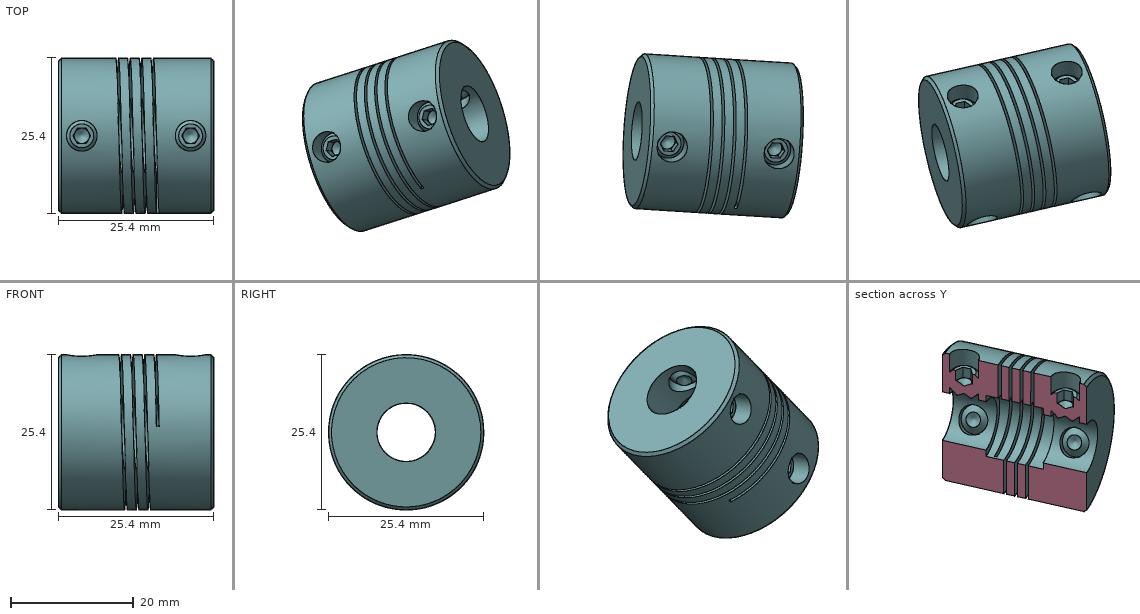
import cadquery as cq
import math

BODY_DIAMETER = 25.4
BODY_LENGTH = 25.4
END_CHAMFER = 0.5
BORE_DIAMETER = 9.525
RELIEF_DIAMETER = 12.0
RELIEF_LENGTH = 10.0

SLOT_WIDTH = 0.45
SLOT_PITCH = 1.905
SLOT_TURNS = 3.725
SLOT_MIDDLE_ANGLE = 225.0
SLOT_SECTIONS = 4
SLOT_OVERCUT = 0.5

SCREW_DIAMETER = 5.0
SCREW_LENGTH = 5.0
SCREW_TIP_RADIUS = 4.7
SCREW_END_DISTANCE = 3.81
SCREW_ANGLES = (0.0, -120.0)
SCREW_HEAD_CHAMFER = 0.55
CUP_DIAMETER = 2.5
CUP_CONE_ANGLE = 120.0
SOCKET_ACROSS_FLATS = 2.5
SOCKET_DEPTH = 2.0
SOCKET_CONE_ANGLE = 120.0

X_AXIS = cq.Vector(1, 0, 0)
SPACE_DIAGONAL = cq.Vector(1, 1, 1)
ORIGIN = cq.Vector(0, 0, 0)


def cylinder_along_x(diameter, length):
    return cq.Workplane("YZ").circle(diameter / 2).extrude(length / 2, both=True)


def cone_depth(diameter, full_angle):
    return diameter / 2 / math.tan(math.radians(full_angle / 2))


def make_body():
    body = cylinder_along_x(BODY_DIAMETER, BODY_LENGTH)
    body = body.faces("<X or >X").chamfer(END_CHAMFER)
    body = body.cut(cylinder_along_x(BORE_DIAMETER, BODY_LENGTH))
    return body.cut(cylinder_along_x(RELIEF_DIAMETER, RELIEF_LENGTH))


def make_slot_sections():
    """Thin radial blades, each swept along an equal stretch of the helix, that together form the slot."""
    inner_radius = RELIEF_DIAMETER / 2 - SLOT_OVERCUT
    outer_radius = BODY_DIAMETER / 2 + SLOT_OVERCUT
    middle_radius = (inner_radius + outer_radius) / 2
    section_turns = SLOT_TURNS / SLOT_SECTIONS
    helix = cq.Wire.makeHelix(SLOT_PITCH, SLOT_PITCH * section_turns, middle_radius)
    blade = (
        cq.Workplane("XZ")
        .center(middle_radius, 0)
        .rect(outer_radius - inner_radius, SLOT_WIDTH)
        .sweep(cq.Workplane(helix), isFrenet=True)
    )
    blade = blade.rotate(ORIGIN, SPACE_DIAGONAL, 120)
    sections = []
    for index in range(SLOT_SECTIONS):
        turns_from_middle = index * section_turns - SLOT_TURNS / 2
        angle = SLOT_MIDDLE_ANGLE + 360 * turns_from_middle
        offset = SLOT_PITCH * turns_from_middle
        sections.append(blade.rotate(ORIGIN, X_AXIS, angle).translate((offset, 0, 0)))
    return sections


def make_screw():
    """Cup-point set screw along Z with its tip facing the body axis."""
    radius = SCREW_DIAMETER / 2
    cup_radius = CUP_DIAMETER / 2
    tip = SCREW_TIP_RADIUS
    head = tip + SCREW_LENGTH
    socket_across_corners = SOCKET_ACROSS_FLATS / math.cos(math.radians(30))
    socket_floor = head - SOCKET_DEPTH
    socket_apex = socket_floor - cone_depth(SOCKET_ACROSS_FLATS, SOCKET_CONE_ANGLE)
    blank = (
        cq.Workplane("XZ")
        .moveTo(0, tip + cone_depth(CUP_DIAMETER, CUP_CONE_ANGLE))
        .lineTo(cup_radius, tip)
        .lineTo(radius, tip + radius - cup_radius)
        .lineTo(radius, head - SCREW_HEAD_CHAMFER)
        .lineTo(radius - SCREW_HEAD_CHAMFER, head)
        .lineTo(0, head)
        .close()
        .revolve(360, (0, 0), (0, 1))
    )
    hexagon = (
        cq.Workplane("XY", origin=(0, 0, socket_floor))
        .polygon(6, socket_across_corners)
        .extrude(SOCKET_DEPTH)
    )
    socket_cone = (
        cq.Workplane("XZ")
        .moveTo(0, socket_apex)
        .lineTo(SOCKET_ACROSS_FLATS / 2, socket_floor)
        .lineTo(0, socket_floor)
        .close()
        .revolve(360, (0, 0), (0, 1))
    )
    return blank.cut(hexagon).cut(socket_cone)


def make_screw_hole():
    """Hole along Z from the body axis out through the wall."""
    return cq.Workplane("XY").circle(SCREW_DIAMETER / 2).extrude(BODY_DIAMETER / 2)


def place_at_screws(shape):
    """Copies of a shape modelled along Z, one at each screw position."""
    screw_x = BODY_LENGTH / 2 - SCREW_END_DISTANCE
    copies = []
    for x in (-screw_x, screw_x):
        for angle in SCREW_ANGLES:
            copies.append(shape.rotate(ORIGIN, X_AXIS, angle).translate((x, 0, 0)))
    return copies


result = make_body()
for section in make_slot_sections():
    result = result.cut(section)
for hole in place_at_screws(make_screw_hole()):
    result = result.cut(hole)
for screw in place_at_screws(make_screw()):
    result = result.union(screw)